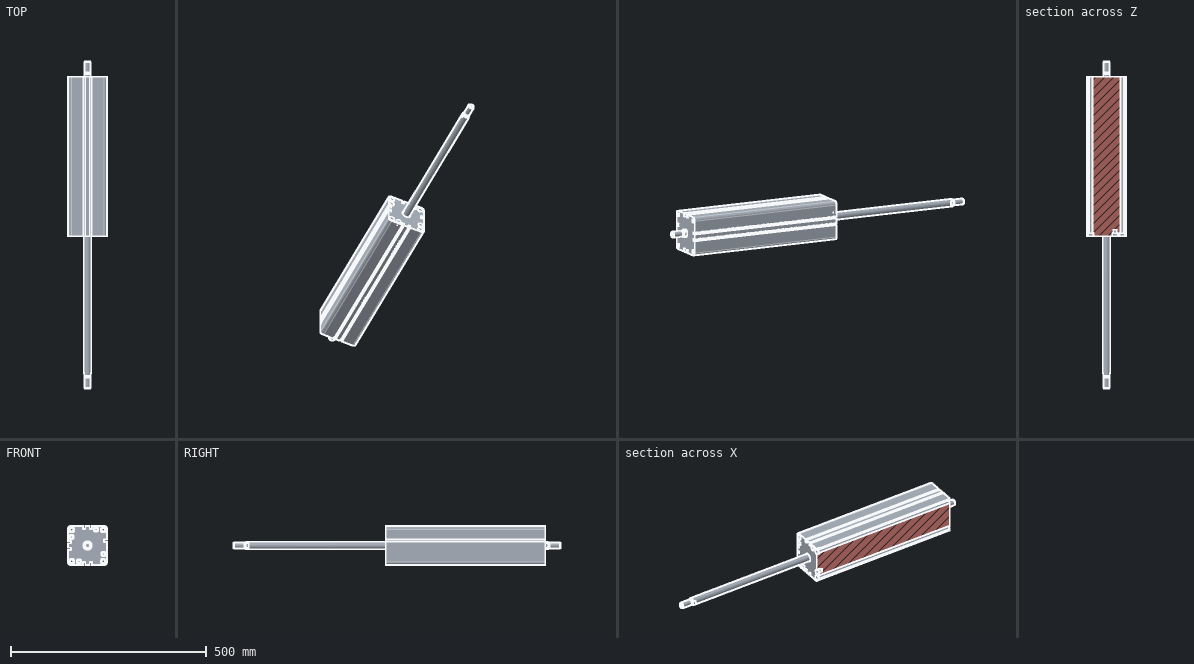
import cadquery as cq

rod_length = 836.0
rear_rod_length = 39.0
housing_length = 408.0

width = 100.0
corner_radius = 8.0
slot_width = 5.0
slot_depth = 7.95
lip_thickness = 4.0
pocket_width = 7.0
slot_pair_rib = 12.5
slot_offset = (slot_pair_rib + slot_width) / 2
single_slot_offset = 12.5

tie_hole_offset = 40.0
tie_hole_diameter = 8.0
tie_counterbore_diameter = 13.0
tie_counterbore_depth = 8.0
port_edge_offset = 41.0
port_side_offset = 22.0
port_diameter = 12.5
port_inner_diameter = 8.0
port_depth = 8.0
port_inner_depth = 17.0
rod_seat_diameter = 22.0
rod_seat_depth = 4.0

rod_diameter = 20.0
stud_diameter = 16.0
stud_length = 28.5
stud_chamfer = 2.0
stud_chamfer_length = 2.5
relief_diameter = 13.0
relief_length = 2.5
shoulder_chamfer_length = 2.5
flats_width = 17.0
flats_length = 8.0

rear_tip_y = rod_length / 2
front_tip_y = -rod_length / 2
rear_face_y = rear_tip_y - rear_rod_length
front_face_y = rear_face_y - housing_length
half_width = width / 2


def cylinder(x, z, y_start, diameter, length):
    """Cylinder parallel to Y, running from y_start towards +Y."""
    return cq.Workplane(cq.Solid.makeCylinder(
        diameter / 2, length, cq.Vector(x, y_start, z), cq.Vector(0, 1, 0)))


def quarter_turn(x, z, turns):
    """Turn the point (x, z) about the rod axis by whole quarter turns."""
    for _ in range(turns):
        x, z = z, -x
    return x, z


def housing_bar(size_x, size_z, x, z):
    """Rectangular bar as long as the housing, centred on (x, z)."""
    mid_y = rear_face_y - housing_length / 2
    return cq.Workplane("XY").box(size_x, housing_length, size_z).translate((x, mid_y, z))


def make_housing():
    housing = housing_bar(width, width, 0, 0).edges("|Y").fillet(corner_radius)

    slot_z = half_width - slot_depth / 2
    for angle in (0, 180, 270):
        for x in (-slot_offset, slot_offset):
            slot = housing_bar(slot_width, slot_depth, x, slot_z)
            housing = housing.cut(slot.rotate((0, 0, 0), (0, 1, 0), angle))

    pocket_depth = slot_depth - lip_thickness
    pocket_x = half_width - slot_depth + pocket_depth / 2
    mouth = housing_bar(slot_depth, slot_width, half_width - slot_depth / 2, single_slot_offset)
    pocket = housing_bar(pocket_depth, pocket_width, pocket_x, single_slot_offset)
    return housing.cut(mouth).cut(pocket)


def cut_end_holes(housing):
    """Cut the tie-rod holes, the stepped ports and the rod seat from the front face."""
    for turns in range(4):
        x, z = quarter_turn(tie_hole_offset, tie_hole_offset, turns)
        housing = housing.cut(cylinder(x, z, front_face_y, tie_hole_diameter, housing_length))
        housing = housing.cut(
            cylinder(x, z, front_face_y, tie_counterbore_diameter, tie_counterbore_depth))
        x, z = quarter_turn(port_side_offset, port_edge_offset, turns)
        housing = housing.cut(cylinder(x, z, front_face_y, port_diameter, port_depth))
        housing = housing.cut(
            cylinder(x, z, front_face_y, port_inner_diameter, port_inner_depth))
    return housing.cut(cylinder(0, 0, front_face_y, rod_seat_diameter, rod_seat_depth))


def rod_end_outline():
    """Half outline of one rod end as (radius, distance from the tip)."""
    stud_radius = stud_diameter / 2
    relief_radius = relief_diameter / 2
    shoulder_start = stud_length + relief_length
    return [
        (0, 0),
        (stud_radius - stud_chamfer, 0),
        (stud_radius, stud_chamfer_length),
        (stud_radius, stud_length),
        (relief_radius, stud_length),
        (relief_radius, shoulder_start),
        (stud_radius, shoulder_start),
        (rod_diameter / 2, shoulder_start + shoulder_chamfer_length),
    ]


def make_rod():
    front_end = [(radius, front_tip_y + distance) for radius, distance in rod_end_outline()]
    rear_end = [(radius, rear_tip_y - distance) for radius, distance in rod_end_outline()]
    outline = front_end + rear_end[::-1]
    rod = cq.Workplane("XY").polyline(outline).close().revolve(360, (0, 0, 0), (0, 1, 0))
    flat_cutter = cq.Workplane("XY").box(rod_diameter, flats_length, rod_diameter)
    flat_x = flats_width / 2 + rod_diameter / 2
    flat_y = rod_length / 2 - stud_length - relief_length - flats_length / 2
    for x in (-flat_x, flat_x):
        for y in (-flat_y, flat_y):
            rod = rod.cut(flat_cutter.translate((x, y, 0)))
    return rod


result = cut_end_holes(make_housing()).union(make_rod())